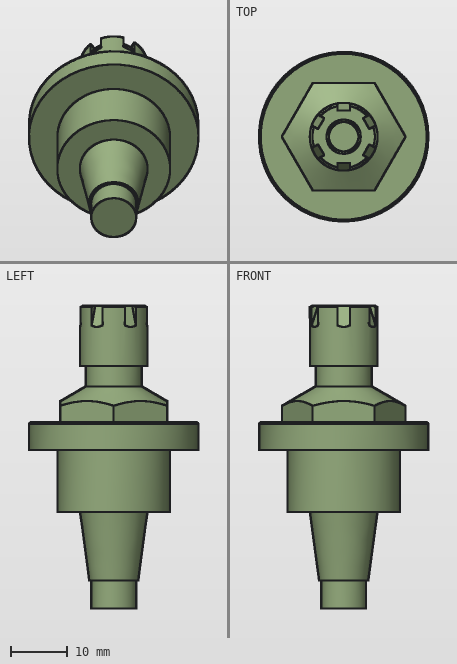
import cadquery as cq
import math

total_height = 53.6
tail_top = 5.0
taper_top = 17.1
body_top = 28.05
flange_top = 33.0
cone_top = 39.35
nut_bottom = 42.95

tail_diameter = 8.0
taper_small_diameter = 8.75
taper_large_diameter = 12.0
body_diameter = 20.0
flange_diameter = 30.0
neck_diameter = 9.95
nut_diameter = 12.0

flange_bevel = 0.3
nut_bevel_width = 0.5
nut_bevel_height = 0.25

hex_across_flats = 19.0
cone_angle = math.radians(30)

bore_diameter = 5.2
bore_bevel = 0.45
bore_depth = total_height - nut_bottom

slot_count = 6
slot_width = 2.2
slot_depth = 3.75
slot_floor_radius = 4.6


def cylinder(diameter, bottom, top):
    return cq.Workplane("XY").workplane(offset=bottom).circle(diameter / 2).extrude(top - bottom)


def revolve_profile(points):
    """Revolve a closed (radius, height) outline about the Z axis."""
    return cq.Workplane("XZ").polyline(points).close().revolve(360, (0, 0, 0), (0, 1, 0))


def make_shank():
    tail = cylinder(tail_diameter, 0, tail_top)
    taper = revolve_profile([
        (0, tail_top),
        (taper_small_diameter / 2, tail_top),
        (taper_large_diameter / 2, taper_top),
        (0, taper_top),
    ])
    body = cylinder(body_diameter, taper_top, body_top)
    flange = cylinder(flange_diameter, body_top, flange_top).faces(">Z").chamfer(flange_bevel)
    return tail.union(taper).union(body).union(flange)


def make_hexagon():
    corner_radius = hex_across_flats / math.sqrt(3)
    prism = (
        cq.Workplane("XY")
        .workplane(offset=flange_top)
        .polygon(6, 2 * corner_radius)
        .extrude(cone_top - flange_top)
    )
    cone_radius = flange_diameter / 2
    cone_drop = (cone_radius - neck_diameter / 2) * math.tan(cone_angle)
    cone = revolve_profile([
        (0, flange_top),
        (cone_radius, flange_top),
        (cone_radius, cone_top - cone_drop),
        (neck_diameter / 2, cone_top),
        (0, cone_top),
    ])
    return prism.intersect(cone)


def make_slot_cutter():
    slope = (nut_diameter / 2 - slot_floor_radius) / slot_depth
    cutter_depth = 2 * slot_depth
    outer_radius = slot_floor_radius + slope * cutter_depth
    return (
        cq.Workplane("YZ")
        .polyline([
            (slot_floor_radius, total_height),
            (outer_radius, total_height),
            (outer_radius, total_height - cutter_depth),
        ])
        .close()
        .extrude(slot_width / 2, both=True)
    )


def make_nut():
    nut_radius = nut_diameter / 2
    nut = revolve_profile([
        (0, nut_bottom),
        (nut_radius, nut_bottom),
        (nut_radius, total_height - nut_bevel_height),
        (nut_radius - nut_bevel_width, total_height),
        (0, total_height),
    ])
    cutter = make_slot_cutter()
    for index in range(slot_count):
        nut = nut.cut(cutter.rotate((0, 0, 0), (0, 0, 1), index * 360 / slot_count))
    return nut


def make_bore():
    bore_radius = bore_diameter / 2
    bore_bottom = total_height - bore_depth
    return revolve_profile([
        (0, bore_bottom),
        (bore_radius, bore_bottom),
        (bore_radius, total_height - bore_bevel),
        (bore_radius + bore_bevel, total_height),
        (0, total_height),
    ])


neck = cylinder(neck_diameter, cone_top, nut_bottom)
result = make_shank().union(make_hexagon()).union(neck).union(make_nut()).cut(make_bore())